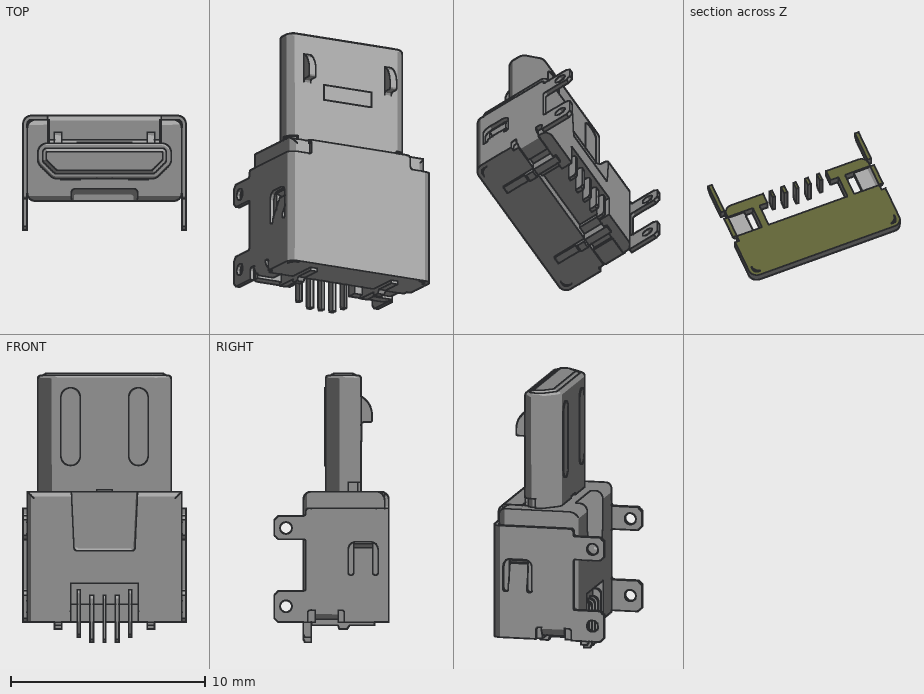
import cadquery as cq
import math

TOTAL_HEIGHT = 13.85

BODY_HALF_WIDTH = 3.97
BODY_DEPTH = 4.18
BODY_BOTTOM = 1.04
BODY_TOP = 7.75
BODY_RADIUS = 0.42

SHEET = 0.22
SHELL_HALF_WIDTH = BODY_HALF_WIDTH + SHEET
SHELL_BACK = BODY_DEPTH + SHEET
SHELL_TOP = 6.9
SHELL_BEND = 0.45
SHELL_FRONT = 0.14

EAR_TIP = -1.5
EAR_CHAMFER = 0.21
UPPER_EAR_BOTTOM, UPPER_EAR_TOP = 5.3, 6.51
LOWER_EAR_TOP = 2.65
EAR_HOLE_DIAMETER = 0.6
EAR_HOLE_Y = -0.89
EAR_HOLE_HEIGHTS = (1.85, 5.89)
EAR_ROOT_RADIUS = 0.14

TONGUE_HALF_WIDTH = 2.91
TONGUE_ROOT_RADIUS = 0.15
TONGUE_GAP = 0.07
TONGUE_GROOVE_RADIUS = 0.18

PLUG_HALF_WIDTH = 3.43
PLUG_FRONT, PLUG_BACK = 1.15, 2.98
PLUG_BEVEL = 0.79
PLUG_RADIUS = 0.5
PLUG_RIM_HEIGHT = 13.74
PLUG_RIM_FILLET = 0.17
CORE_INSET = 0.25
CORE_CHAMFER_WIDTH = 0.2

HOOK_X = 2.38
HOOK_WIDTH = 0.39


def box(x, y, z):
    """Box from three (low, high) ranges."""
    size = [high - low for low, high in (x, y, z)]
    return cq.Workplane("XY").box(*size, centered=False).translate((x[0], y[0], z[0]))


def yz_prism(sketch, x_low, x_high):
    """Extrude a closed Y-Z outline between two X positions."""
    return sketch.extrude(x_high - x_low).translate((x_low, 0, 0))


def both_sides(solid):
    return solid.union(solid.mirror("YZ"))


def make_housing():
    depth_centre = BODY_DEPTH / 2
    height = BODY_TOP - BODY_BOTTOM
    plan = (
        cq.Workplane("XY", origin=(0, depth_centre, BODY_BOTTOM))
        .rect(2 * BODY_HALF_WIDTH, BODY_DEPTH).extrude(height)
        .edges("|Z").fillet(BODY_RADIUS)
    )
    side = (
        box((-BODY_HALF_WIDTH, BODY_HALF_WIDTH), (0, BODY_DEPTH), (BODY_BOTTOM, BODY_TOP))
        .edges("|X and >Z").fillet(BODY_RADIUS)
    )
    return plan.intersect(side)


def make_thumb_recess():
    """Tapered recess in the front face, open at the top, with a sloping floor."""
    top_half, bottom_half, bottom = 1.7, 1.57, 4.71
    floor_low, floor_high = 0.46, 0.64
    corner_radius, floor_fillet = 0.18, 0.21
    overrun = 0.83
    height = BODY_TOP - bottom
    widen = (top_half - bottom_half) / height * overrun
    deepen = (floor_high - floor_low) / height * overrun
    outline = (
        cq.Workplane("XZ", origin=(0, -overrun, 0))
        .moveTo(-bottom_half, bottom).lineTo(bottom_half, bottom)
        .lineTo(top_half + widen, BODY_TOP + overrun)
        .lineTo(-top_half - widen, BODY_TOP + overrun).close()
        .extrude(-2 * overrun - floor_high)
        .edges("|Y and <Z").fillet(corner_radius)
    )
    depth = yz_prism(
        cq.Workplane("YZ").polyline([
            (-overrun, bottom), (floor_low, bottom),
            (floor_high + deepen, BODY_TOP + overrun), (-overrun, BODY_TOP + overrun),
        ]).close(),
        -2 * top_half, 2 * top_half,
    )
    return outline.intersect(depth).faces(">Y").edges("not >Z").fillet(floor_fillet)


PIN_WINDOW_HALF_WIDTH = 1.75
PIN_WINDOW_TOP = 3.05
PIN_CAVITY_TOP = 1.95
PIN_DEPTH = 0.42

FOLD_Y = (0.61, 1.81)
FOLD_BOTTOM = 1.19
FOLD_RADIUS = 0.42
FOLD_INNER_X = 3.05


def cut_pin_opening(part):
    x = (-PIN_WINDOW_HALF_WIDTH, PIN_WINDOW_HALF_WIDTH)
    part = part.cut(box(x, (0, PIN_DEPTH), (BODY_BOTTOM, PIN_WINDOW_TOP)))
    return part.cut(box(x, (0, FOLD_Y[1]), (BODY_BOTTOM, PIN_CAVITY_TOP)))


def make_shell():
    outer = (
        box((-SHELL_HALF_WIDTH, SHELL_HALF_WIDTH), (EAR_TIP, SHELL_BACK), (BODY_BOTTOM, SHELL_TOP))
        .edges("|Z and >Y").fillet(SHELL_BEND)
    )
    inner = (
        box((-BODY_HALF_WIDTH, BODY_HALF_WIDTH), (EAR_TIP, BODY_DEPTH), (BODY_BOTTOM, SHELL_TOP))
        .edges("|Z and >Y").fillet(SHELL_BEND - SHEET)
    )
    r = EAR_ROOT_RADIUS
    c = EAR_CHAMFER
    side_outline = (
        cq.Workplane("YZ").moveTo(SHELL_BACK, BODY_BOTTOM)
        .lineTo(EAR_TIP + c, BODY_BOTTOM).lineTo(EAR_TIP, BODY_BOTTOM + c)
        .lineTo(EAR_TIP, LOWER_EAR_TOP - c).lineTo(EAR_TIP + c, LOWER_EAR_TOP)
        .lineTo(SHELL_FRONT - r, LOWER_EAR_TOP)
        .radiusArc((SHELL_FRONT, LOWER_EAR_TOP + r), -r)
        .lineTo(SHELL_FRONT, UPPER_EAR_BOTTOM - r)
        .radiusArc((SHELL_FRONT - r, UPPER_EAR_BOTTOM), -r)
        .lineTo(EAR_TIP + c, UPPER_EAR_BOTTOM).lineTo(EAR_TIP, UPPER_EAR_BOTTOM + c)
        .lineTo(EAR_TIP, UPPER_EAR_TOP - c).lineTo(EAR_TIP + c, UPPER_EAR_TOP)
        .lineTo(SHELL_FRONT - r, UPPER_EAR_TOP)
        .radiusArc((SHELL_FRONT, UPPER_EAR_TOP + r), -r)
        .lineTo(SHELL_FRONT, SHELL_TOP - r)
        .radiusArc((SHELL_FRONT + r, SHELL_TOP), r)
        .lineTo(SHELL_BACK, SHELL_TOP).close()
    )
    shell = outer.cut(inner).intersect(yz_prism(side_outline, -SHELL_HALF_WIDTH, SHELL_HALF_WIDTH))
    holes = (
        cq.Workplane("YZ", origin=(-SHELL_HALF_WIDTH, 0, 0))
        .pushPoints([(EAR_HOLE_Y, z) for z in EAR_HOLE_HEIGHTS])
        .circle(EAR_HOLE_DIAMETER / 2).extrude(2 * SHELL_HALF_WIDTH)
    )
    return shell.cut(holes)


def make_tongue():
    """Back tongue of the shell, flush with the housing top and flared at its root."""
    tongue = (
        box((-TONGUE_HALF_WIDTH, TONGUE_HALF_WIDTH), (PLUG_BACK, SHELL_BACK), (SHELL_TOP, BODY_TOP))
        .edges("|X and >Y and >Z").fillet(BODY_RADIUS)
    )
    r = TONGUE_ROOT_RADIUS
    flare = (
        cq.Workplane("XZ", origin=(0, SHELL_BACK, 0))
        .moveTo(TONGUE_HALF_WIDTH, SHELL_TOP).lineTo(TONGUE_HALF_WIDTH + r, SHELL_TOP)
        .radiusArc((TONGUE_HALF_WIDTH, SHELL_TOP + r), r).close().extrude(SHEET)
    )
    return tongue.union(both_sides(flare))


def cut_tongue_edges(part):
    """Slots beside the tongue and the groove, curving down from the plug, along its end."""
    slot = box(
        (TONGUE_HALF_WIDTH - TONGUE_GAP, TONGUE_HALF_WIDTH),
        (PLUG_BACK, BODY_DEPTH),
        (BODY_TOP - SHEET, BODY_TOP),
    )
    r = TONGUE_GROOVE_RADIUS
    groove = (
        cq.Workplane("YZ").moveTo(PLUG_BACK, BODY_TOP).lineTo(PLUG_BACK + r, BODY_TOP)
        .lineTo(PLUG_BACK + r, BODY_TOP - r)
        .radiusArc((PLUG_BACK, BODY_TOP), r).close()
    )
    return part.cut(both_sides(slot)).cut(yz_prism(groove, -TONGUE_HALF_WIDTH, TONGUE_HALF_WIDTH))


LATCH_Y = (2.59, 3.57)
LATCH_SLOT = 0.28
LATCH_WINDOW_RADIUS = 0.42
LATCH_SLOT_END_RADIUS = 0.12
LATCH_WINDOW_BOTTOM, LATCH_WINDOW_TOP = 3.46, 5.18
LATCH_BEND_HEIGHT = 3.6
LATCH_TIP_HEIGHT = 4.88
LATCH_LEAN = 0.42


def make_latch_window():
    """U-shaped slot round one latch, through the sheet only."""
    slot = (
        box((BODY_HALF_WIDTH, SHELL_HALF_WIDTH),
            (LATCH_Y[0] - LATCH_SLOT, LATCH_Y[1] + LATCH_SLOT),
            (LATCH_WINDOW_BOTTOM, LATCH_WINDOW_TOP))
        .edges("|X and >Z").fillet(LATCH_WINDOW_RADIUS)
    )
    root = box((BODY_HALF_WIDTH, SHELL_HALF_WIDTH), LATCH_Y, (LATCH_WINDOW_BOTTOM, LATCH_BEND_HEIGHT))
    return slot.cut(root).edges("|X and <Z").fillet(LATCH_SLOT_END_RADIUS)


def latch_prism(points):
    depth = LATCH_Y[1] - LATCH_Y[0]
    return cq.Workplane("XZ", origin=(0, LATCH_Y[1], 0)).polyline(points).close().extrude(depth)


def make_latch_pocket():
    """Wedge-shaped pocket in the housing side that takes the leaning latch."""
    pocket_top = 5.08
    return latch_prism([
        (BODY_HALF_WIDTH, LATCH_BEND_HEIGHT),
        (BODY_HALF_WIDTH, pocket_top),
        (BODY_HALF_WIDTH - LATCH_LEAN, LATCH_TIP_HEIGHT),
    ])


def make_latch():
    """Latch leaning inward towards its top, with a short facet at its bend."""
    bend_depth, bend_height = 0.01, 0.12
    return latch_prism([
        (BODY_HALF_WIDTH, LATCH_BEND_HEIGHT),
        (SHELL_HALF_WIDTH, LATCH_BEND_HEIGHT),
        (SHELL_HALF_WIDTH - bend_depth, LATCH_BEND_HEIGHT + bend_height),
        (SHELL_HALF_WIDTH - LATCH_LEAN, LATCH_TIP_HEIGHT),
        (BODY_HALF_WIDTH - LATCH_LEAN, LATCH_TIP_HEIGHT),
    ])


def make_fold_notch():
    """Notch in the lower edge of one shell side that frees the folded lug."""
    notch_y, notch_top, corner_radius = (0.22, 2.12), 1.66, 0.17
    return (
        box((BODY_HALF_WIDTH, SHELL_HALF_WIDTH), notch_y, (BODY_BOTTOM, notch_top))
        .edges("|X and >Z").fillet(corner_radius)
    )


def make_fold_groove():
    return box(
        (-BODY_HALF_WIDTH, BODY_HALF_WIDTH), FOLD_Y,
        (BODY_BOTTOM, FOLD_BOTTOM + FOLD_RADIUS),
    )


def make_fold():
    """Lug bent from the vertical shell side to lie under the housing."""
    bend_x = SHELL_HALF_WIDTH - FOLD_RADIUS
    bend_z = FOLD_BOTTOM + FOLD_RADIUS
    inner_radius = FOLD_RADIUS - SHEET
    return (
        cq.Workplane("XZ", origin=(0, FOLD_Y[1], 0))
        .moveTo(SHELL_HALF_WIDTH, bend_z + SHEET / 2).lineTo(SHELL_HALF_WIDTH, bend_z)
        .radiusArc((bend_x, FOLD_BOTTOM), FOLD_RADIUS)
        .lineTo(FOLD_INNER_X, FOLD_BOTTOM).lineTo(FOLD_INNER_X, FOLD_BOTTOM + SHEET)
        .lineTo(bend_x, FOLD_BOTTOM + SHEET)
        .radiusArc((BODY_HALF_WIDTH, bend_z), -inner_radius)
        .lineTo(BODY_HALF_WIDTH, bend_z + SHEET / 2).close()
        .extrude(FOLD_Y[1] - FOLD_Y[0])
    )


def make_bottom_rib():
    """Rib with a small foot under the housing."""
    bottom, foot_bottom = 0.87, 0.68
    front, back = 0.43, 3.67
    foot_front, foot_back, foot_slope = 1.79, 2.38, 0.12
    top = FOLD_BOTTOM + FOLD_RADIUS
    outline = cq.Workplane("YZ").polyline([
        (front, top), (front, bottom),
        (foot_front, bottom), (foot_front + foot_slope / 2, foot_bottom),
        (foot_back - foot_slope, foot_bottom), (foot_back, bottom),
        (back, bottom), (back, top),
    ]).close()
    return yz_prism(outline, HOOK_X - HOOK_WIDTH / 2, HOOK_X + HOOK_WIDTH / 2)


def plug_prism(bottom, top, inset=0.0):
    """Plug section, two rounded back corners and two bevelled front ones, drawn inset and extruded."""
    half_width = PLUG_HALF_WIDTH - inset
    front, back = PLUG_FRONT + inset, PLUG_BACK - inset
    bevel = PLUG_BEVEL - inset * (1 - math.tan(math.pi / 8))
    return (
        cq.Workplane("XY", origin=(0, 0, bottom))
        .polyline([
            (-half_width, back), (half_width, back),
            (half_width, front + bevel), (half_width - bevel, front),
            (bevel - half_width, front), (-half_width, front + bevel),
        ]).close()
        .extrude(top - bottom)
        .edges("|Z").fillet(PLUG_RADIUS - inset)
    )


def make_plug():
    bottom = BODY_TOP - SHEET
    shell = plug_prism(bottom, PLUG_RIM_HEIGHT).faces(">Z").edges().fillet(PLUG_RIM_FILLET)
    core_height = TOTAL_HEIGHT - PLUG_RIM_HEIGHT
    core = (
        plug_prism(BODY_TOP, TOTAL_HEIGHT, CORE_INSET)
        .faces(">Z").edges().chamfer(core_height, CORE_CHAMFER_WIDTH)
    )
    return shell.union(core)


def cut_plug_reliefs(plug):
    """Bend reliefs at the back corners and a seam notch at the front, all at the plug base."""
    relief_top, relief_front, relief_depth = 8.23, 2.33, 0.17
    corner = box(
        (TONGUE_HALF_WIDTH, PLUG_HALF_WIDTH), (relief_front, PLUG_BACK), (BODY_TOP, relief_top)
    ).cut(plug_prism(BODY_TOP, relief_top, relief_depth))
    notch_half, notch_top, notch_depth = 0.4, 7.85, 0.1
    notch = box(
        (-notch_half, notch_half), (PLUG_FRONT, PLUG_FRONT + notch_depth), (BODY_TOP, notch_top)
    )
    return plug.cut(both_sides(corner)).cut(notch)


def make_plug_pads():
    """Two raised oblong pads on the plug front and one shallow strip on its back."""
    pad_x, pad_width, pad_bottom, pad_top, pad_height = 1.75, 1.0, 9.1, 13.1, 0.04
    pads = (
        cq.Workplane("XZ", origin=(0, PLUG_FRONT + pad_height, (pad_bottom + pad_top) / 2))
        .pushPoints([(-pad_x, 0), (pad_x, 0)])
        .slot2D(pad_top - pad_bottom, pad_width, 90).extrude(2 * pad_height)
    )
    strip_half_width, strip_z = 1.4, (10.36, 11.16)
    strip = box(
        (-strip_half_width, strip_half_width),
        (PLUG_BACK - pad_height, PLUG_BACK + pad_height), strip_z,
    )
    return pads, strip


def make_hook():
    """Rounded spring hook standing out of the plug back."""
    overlap = 0.14
    root = PLUG_BACK - overlap
    top, nose_top, bottom = 12.66, 11.72, 11.33
    shoulder = (3.4, 12.26)
    nose = 3.55
    nose_radius, root_radius = 0.11, 0.17
    outline = (
        cq.Workplane("YZ").moveTo(root, top).lineTo(PLUG_BACK, top)
        .threePointArc(shoulder, (nose, nose_top)).lineTo(nose, bottom + nose_radius)
        .radiusArc((nose - nose_radius, bottom), nose_radius).lineTo(PLUG_BACK + root_radius, bottom)
        .radiusArc((PLUG_BACK, bottom - root_radius), -root_radius)
        .lineTo(root, bottom - root_radius).close()
    )
    return yz_prism(outline, HOOK_X - HOOK_WIDTH / 2, HOOK_X + HOOK_WIDTH / 2)


def make_pin(x, width, bottom, top):
    """Flat pin that leaves the pin window, rounds over and runs straight down."""
    bend, tip_chamfer, root = 0.28, 0.17, 0.14
    outline = (
        cq.Workplane("YZ").moveTo(0, bottom + tip_chamfer).lineTo(0, top - bend)
        .radiusArc((bend, top), bend).lineTo(PIN_DEPTH + root, top)
        .lineTo(PIN_DEPTH + root, PIN_CAVITY_TOP).lineTo(PIN_DEPTH, PIN_CAVITY_TOP)
        .lineTo(PIN_DEPTH, bottom).lineTo(tip_chamfer / 2, bottom).close()
    )
    return yz_prism(outline, x - width / 2, x + width / 2)


def make_pins():
    outer_x = 1.32
    inner_x = outer_x / 2
    narrow, wide = 0.15, 0.2
    inner_top = 2.42
    outer_bottom, outer_top = 0.26, 2.7
    pins = make_pin(0, narrow, 0, inner_top)
    for side in (-1, 1):
        pins = pins.union(make_pin(side * inner_x, wide, 0, inner_top))
        pins = pins.union(make_pin(side * outer_x, narrow, outer_bottom, outer_top))
    return pins


housing = make_housing().cut(make_thumb_recess())
housing = cut_pin_opening(housing.cut(make_fold_groove()))
housing = housing.cut(both_sides(make_latch_pocket()))
housing = cut_tongue_edges(housing.union(make_tongue()))

shell = make_shell()
for opening in (make_latch_window(), make_fold_notch()):
    shell = shell.cut(both_sides(opening))

plug = cut_plug_reliefs(make_plug())
for pad in make_plug_pads():
    plug = plug.union(pad)

result = housing.union(shell).union(plug).union(make_pins())
for feature in (make_latch(), make_fold(), make_bottom_rib(), make_hook()):
    result = result.union(both_sides(feature))